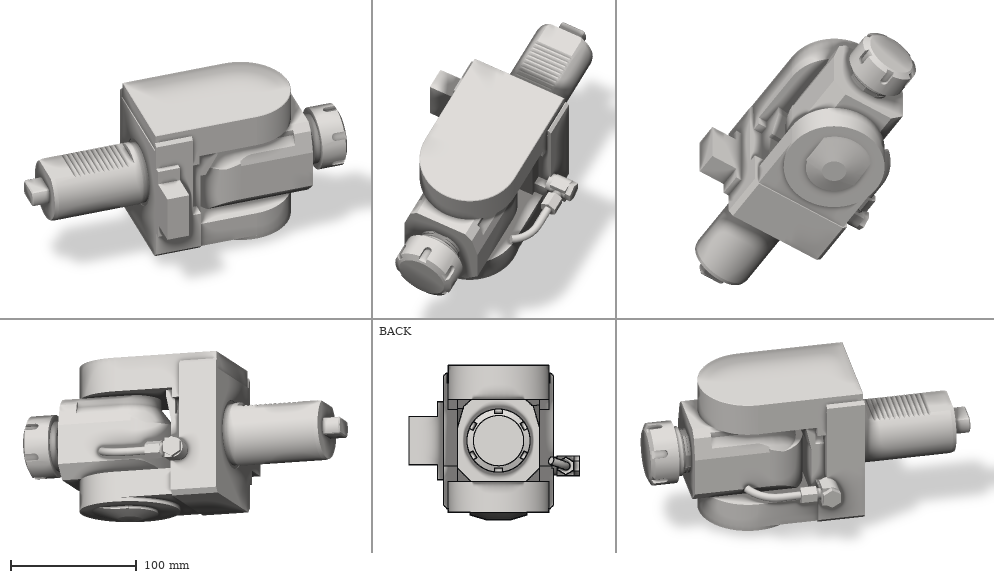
import cadquery as cq
import math


LENGTH_Y = 261.0
WIDTH_X = 135.7
HEIGHT_Z = 123.0

HOUSING_DIA = 80.0
HOUSING_R = HOUSING_DIA / 2
SWIVEL_Y = 85.8
TOP_Z = 60.0
BOTTOM_Z = TOP_Z - HEIGHT_Z
COVER_Z = 46.0
COVER_FRONT_Y = 0.8
COVER_CHAMFER = 0.5
GAP_HALF_Z = 32.5
LOWER_ARM_Z = -53.7
LOWER_DISC_Z = -57.0
SHOULDER_Z = 24.8
SHOULDER_Y = 37.8
WEB_HALF_X = 32.5
WEB_Y = 41.2
WEB_STEP_Z = 8.3
NEAR_WEDGE_Y = 45.5
NEAR_WEDGE_Z = 28.2
FAR_WEDGE_FOOT_Y = 45.5
FAR_WEDGE_Y = 55.3
FAR_WEDGE_Z = 25.3

FLANGE_WIDTH = 87.5
FLANGE_HALF_X = FLANGE_WIDTH / 2
FLANGE_TOP_Z = 53.7
FLANGE_BOTTOM_Z = -55.0
FLANGE_UPPER_Y = 30.8
FLANGE_LOWER_Y = 37.8
FLANGE_CHAMFER = 4.0
EAR_CHAMFER = 2.3
COVER_GAP = 0.8

LUG_PLATE_X = 48.5
LUG_PLATE_HALF_Z = 31.0
LUG_END_X = 71.2
LUG_HALF_Z = 19.3
LUG_DEPTH_Y = 18.3

FITTING_Y = FLANGE_UPPER_Y
FITTING_Z = -20.0
FITTING_END_X = LUG_END_X - WIDTH_X
FITTING_CAP_X = -60.0
FITTING_BODY_X = -46.5
FITTING_DIA = 16.0
FITTING_R = FITTING_DIA / 2
FITTING_NECK_DIA = 14.5
TUBE_X = -53.5
TUBE_DIA = 6.3
TUBE_NUT_R = 7.0
TUBE_NUT_START_Y = 42.0
TUBE_NUT_END_Y = 54.5
TUBE_NECK_DIA = 8.0
TUBE_NECK_END_Y = 40.0
TUBE_CONE_R = 6.0
TUBE_BEND_Y = 70.5
TUBE_BEND_R = 31.3
TUBE_BEND_ANGLE = 53
TUBE_BEND_TILT = 20

SCOOP_DIA = 12.0
SCOOP_Z = 18.8

SHANK_DIA = 50.0
SHANK_R = SHANK_DIA / 2
SHANK_END_Y = -78.3
UNDERCUT_DIA = 48.8
UNDERCUT_Y = -2.0
UNDERCUT_TAPER_Y = -4.2
SHANK_CHAMFER_LENGTH = 3.1
SHANK_CHAMFER_DEPTH = 0.8
FLAT_Z = 19.8
FLAT_START_Y = -8.3
FIRST_TOOTH_Y = -13.8
TOOTH_COUNT = 12
TOOTH_ROW_LENGTH = 48.0
TOOTH_PITCH = TOOTH_ROW_LENGTH / TOOTH_COUNT
TOOTH_DEPTH = 1.44
TANG_END_Y = -92.4
TANG_DIA = 23.2
TANG_R = TANG_DIA / 2
TANG_HALF_Z = 6.8
TANG_CHAMFER = 1.0
TANG_EDGE_CHAMFER = 0.8
SEAL_DIA = 54.8
SEAL_DEPTH = 1.3

HEAD_HALF_X = GAP_HALF_Z
HEAD_FRONT_Y = 135.5
HEAD_ROUND_Y = 75.0
HEAD_CORNER_X = 21.7
HEAD_SHOULDER_X = 27.7
HEAD_SHOULDER_Z = 27.1
HEAD_SIDE_Z = 10.0
RELIEF_FRONT_Y = 121.3
RELIEF_R = 25.0
RELIEF_CONE_Z = 24.8
RELIEF_LEDGE_Z = 7.8
RELIEF_LEDGE_R = 38.0

NUT_DIA = 50.0
NUT_R = NUT_DIA / 2
NUT_END_Y = TANG_END_Y + LENGTH_Y
NUT_START_Y = 146.5
NUT_CHAMFER_Y = 166.0
NUT_FACE_DIA = 40.0
NUT_SLOT_WIDTH = 6.3
NUT_SLOT_CENTER_Y = 158.5
NUT_SLOT_FLOOR_R = 21.7
NUT_SLOT_COUNT = 6
COLLAR_START_Y = 141.2
COLLAR_CHAMFER = 0.8
RING_END_Y = 139.8
RING_R = 17.7
NECK_R = 16.2
RING_GROOVE_R = 17.0
RING_GROOVE_Y = 137.8
RING_GROOVE_WIDTH = 0.8
RING_SLOT_WIDTH = 11.0
RING_SLOT_COUNT = 4
RING_SLOT_FLOOR_R = 16.2

CAP_R = 22.5
CAP_TIP_R = 9.7
CAP_RIM_Z = -59.0
POINTER_BASE_R = 29.7
POINTER_BACK = -6.0

OVERLAP = 1.3


def box(x0, x1, y0, y1, z0, z1):
    """Box given by its limits along each axis."""
    return cq.Workplane("XY").box(x1 - x0, y1 - y0, z1 - z0, centered=False).translate((x0, y0, z0))


def cylinder_y(radius, y0, y1, x=0, z=0):
    """Cylinder along Y between two positions."""
    return cq.Workplane("XZ", origin=(x, y0, z)).circle(radius).extrude(y0 - y1)


def cylinder_x(radius, x0, x1, y, z):
    """Cylinder along X between two positions."""
    return cq.Workplane("YZ", origin=(x0, y, z)).circle(radius).extrude(x1 - x0)


def hexagon_points(radius):
    """Hexagon corners with two corners on the second sketch axis."""
    angles = [math.radians(30 + 60 * i) for i in range(6)]
    return [(radius * math.cos(a), radius * math.sin(a)) for a in angles]


def rounded_arm(y_front, z0, z1):
    """Fork arm with straight sides and a half-round end about the swivel axis."""
    return (
        cq.Workplane("XY", origin=(0, 0, z0))
        .moveTo(-HOUSING_R, y_front)
        .lineTo(HOUSING_R, y_front)
        .lineTo(HOUSING_R, SWIVEL_Y)
        .threePointArc((0, SWIVEL_Y + HOUSING_R), (-HOUSING_R, SWIVEL_Y))
        .close()
        .extrude(z1 - z0)
    )


def make_web():
    """Web joining the arms, with a shoulder under the upper arm and a wedge growing toward +X."""
    shoulder = box(-HOUSING_R, HOUSING_R, COVER_FRONT_Y, SHOULDER_Y, SHOULDER_Z, GAP_HALF_Z)
    web = box(-WEB_HALF_X, WEB_HALF_X, COVER_FRONT_Y, WEB_Y, -GAP_HALF_Z, GAP_HALF_Z)

    def wedge_wire(x, y_foot, y_upper, z_upper):
        points = [(WEB_Y - OVERLAP, WEB_STEP_Z), (y_foot, WEB_STEP_Z), (y_upper, z_upper),
                  (y_upper, GAP_HALF_Z), (WEB_Y - OVERLAP, GAP_HALF_Z)]
        return cq.Wire.makePolygon([cq.Vector(x, y, z) for y, z in points], close=True)

    wedge = cq.Solid.makeLoft(
        [wedge_wire(-WEB_HALF_X, WEB_Y, NEAR_WEDGE_Y, NEAR_WEDGE_Z),
         wedge_wire(WEB_HALF_X, FAR_WEDGE_FOOT_Y, FAR_WEDGE_Y, FAR_WEDGE_Z)],
        True,
    )
    scoop = cylinder_y(SCOOP_DIA / 2, FLANGE_UPPER_Y, SHOULDER_Y, -WEB_HALF_X, SCOOP_Z)
    return web.union(cq.Workplane(wedge)).cut(scoop).union(shoulder)


def make_flange():
    """Mounting flange: full plate, deeper lower block and a slot for the cover."""
    def plate(y1, z0, z1):
        return box(-FLANGE_HALF_X, FLANGE_HALF_X, 0, y1, z0, z1)

    upper = plate(FLANGE_UPPER_Y, FITTING_Z, FLANGE_TOP_Z).edges("|Y and >Z").chamfer(EAR_CHAMFER)
    lower = plate(FLANGE_LOWER_Y, FLANGE_BOTTOM_Z, FITTING_Z).edges("|Y and <Z").chamfer(FLANGE_CHAMFER)
    slot_half = HOUSING_R + COVER_GAP
    slot = box(-slot_half, slot_half, 0, FLANGE_UPPER_Y, COVER_Z, TOP_Z)
    seal_groove = cylinder_y(SEAL_DIA / 2, 0, SEAL_DEPTH)
    return upper.union(lower).cut(slot).cut(seal_groove)


def make_housing():
    """Fork arms, web, lower disc and flange."""
    upper_arm = rounded_arm(COVER_FRONT_Y, GAP_HALF_Z, TOP_Z).faces(">Z").chamfer(COVER_CHAMFER)
    lower_arm = rounded_arm(COVER_FRONT_Y, LOWER_ARM_Z, -GAP_HALF_Z)
    disc = (
        cq.Workplane("XY", origin=(0, SWIVEL_Y, LOWER_DISC_Z))
        .circle(HOUSING_R)
        .extrude(-GAP_HALF_Z - LOWER_DISC_Z)
    )
    return make_flange().union(make_web()).union(upper_arm).union(lower_arm).union(disc)


def make_swivel_cap():
    """Round cap with a conical end below the lower disc and a wider cone toward the spindle."""
    root_z = LOWER_DISC_Z + OVERLAP

    def turned(outline):
        closed = cq.Workplane("XZ").polyline([(0, root_z)] + outline + [(0, BOTTOM_Z)]).close()
        return closed.revolve(360, (0, 0), (0, 1))

    cap = turned([(CAP_R, root_z), (CAP_R, CAP_RIM_Z), (CAP_TIP_R, BOTTOM_Z)])
    pointer = turned([(POINTER_BASE_R, root_z), (POINTER_BASE_R, LOWER_DISC_Z), (CAP_TIP_R, BOTTOM_Z)])
    pointer_limits = box(-CAP_R, CAP_R, POINTER_BACK, POINTER_BASE_R, BOTTOM_Z, root_z)
    return cap.union(pointer.intersect(pointer_limits)).translate((0, SWIVEL_Y, 0))


def make_head():
    """Faceted swivel head with a half-round back and a conical relief around its top."""
    right_side = [(HEAD_CORNER_X, -GAP_HALF_Z), (HEAD_HALF_X, -HEAD_CORNER_X), (HEAD_HALF_X, HEAD_SIDE_Z),
                  (HEAD_SHOULDER_X, HEAD_SHOULDER_Z), (HEAD_CORNER_X, GAP_HALF_Z)]
    left_side = [(-x, z) for x, z in reversed(right_side)]
    back_y = HEAD_ROUND_Y - HEAD_HALF_X
    section = (
        cq.Workplane("XZ", origin=(0, HEAD_ROUND_Y, 0))
        .polyline(right_side + left_side)
        .close()
        .extrude(HEAD_ROUND_Y - HEAD_FRONT_Y)
    )
    round_back = (
        cq.Workplane("XY", origin=(0, HEAD_ROUND_Y, -GAP_HALF_Z))
        .circle(HEAD_HALF_X)
        .extrude(2 * GAP_HALF_Z)
        .intersect(box(-HEAD_HALF_X, HEAD_HALF_X, back_y, HEAD_ROUND_Y, -GAP_HALF_Z, GAP_HALF_Z))
    )
    bottom_trim = (
        cq.Workplane("XZ", origin=(0, HEAD_ROUND_Y, 0))
        .polyline([(HEAD_CORNER_X, -GAP_HALF_Z), (HEAD_HALF_X, -HEAD_CORNER_X), (HEAD_HALF_X, -GAP_HALF_Z)])
        .close()
        .extrude(HEAD_HALF_X)
    )
    round_back = round_back.cut(bottom_trim).cut(bottom_trim.mirror("YZ"))
    return section.union(round_back).cut(make_head_relief())


def make_head_relief():
    """Space outside the relieved top: a turned profile continued straight toward the nut."""
    half_profile = [(RELIEF_LEDGE_R, RELIEF_LEDGE_Z), (RELIEF_R, RELIEF_CONE_Z), (RELIEF_R, GAP_HALF_Z)]
    turned = (
        cq.Workplane("XZ")
        .polyline([(0, RELIEF_LEDGE_Z)] + half_profile + [(0, GAP_HALF_Z)])
        .close()
        .revolve(360, (0, 0), (0, 1))
        .translate((0, SWIVEL_Y, 0))
    )
    straight = (
        cq.Workplane("XZ", origin=(0, SWIVEL_Y, 0))
        .polyline(half_profile + [(-x, z) for x, z in reversed(half_profile)])
        .close()
        .extrude(SWIVEL_Y - RELIEF_FRONT_Y)
    )
    space = box(-HOUSING_R, HOUSING_R, WEB_Y, RELIEF_FRONT_Y, RELIEF_LEDGE_Z, GAP_HALF_Z)
    return space.cut(turned).cut(straight)


def make_collet_nut():
    """Spindle ring, collar and chamfered nut with round-ended wrench slots."""
    face_r = NUT_FACE_DIA / 2
    spindle = (
        cq.Workplane("XY")
        .polyline([(0, HEAD_FRONT_Y - OVERLAP), (RING_R, HEAD_FRONT_Y - OVERLAP), (RING_R, RING_END_Y),
                   (NECK_R, RING_END_Y), (NECK_R, COLLAR_START_Y),
                   (face_r - COLLAR_CHAMFER, COLLAR_START_Y), (face_r, COLLAR_START_Y + COLLAR_CHAMFER),
                   (face_r, NUT_START_Y), (NUT_R, NUT_START_Y), (NUT_R, NUT_CHAMFER_Y),
                   (face_r, NUT_END_Y), (0, NUT_END_Y)])
        .close()
        .revolve(360, (0, 0), (0, 1))
    )
    groove_start = RING_GROOVE_Y - RING_GROOVE_WIDTH / 2
    groove_end = RING_GROOVE_Y + RING_GROOVE_WIDTH / 2
    ring_groove = cylinder_y(RING_R, groove_start, groove_end).cut(
        cylinder_y(RING_GROOVE_R, groove_start, groove_end)
    )
    spindle = spindle.cut(ring_groove)
    half_slot = NUT_SLOT_WIDTH / 2
    nut_slot = box(-half_slot, half_slot, NUT_SLOT_CENTER_Y, NUT_END_Y, NUT_SLOT_FLOOR_R, NUT_R)
    slot_end = (
        cq.Workplane("XY", origin=(0, NUT_SLOT_CENTER_Y, NUT_SLOT_FLOOR_R))
        .circle(half_slot)
        .extrude(NUT_R - NUT_SLOT_FLOOR_R)
    )
    nut_slot = nut_slot.union(slot_end)
    for i in range(NUT_SLOT_COUNT):
        spindle = spindle.cut(nut_slot.rotate((0, 0, 0), (0, 1, 0), i * 360 / NUT_SLOT_COUNT))
    half_ring_slot = RING_SLOT_WIDTH / 2
    ring_slot = box(-half_ring_slot, half_ring_slot, HEAD_FRONT_Y, RING_END_Y, RING_SLOT_FLOOR_R, RING_R)
    for i in range(RING_SLOT_COUNT):
        spindle = spindle.cut(ring_slot.rotate((0, 0, 0), (0, 1, 0), i * 360 / RING_SLOT_COUNT))
    return spindle


def make_shank():
    """Round shank with a toothed flat on top and a driving tang at its end."""
    shank = (
        cq.Workplane("XY")
        .polyline([(0, FLANGE_UPPER_Y), (UNDERCUT_DIA / 2, FLANGE_UPPER_Y),
                   (UNDERCUT_DIA / 2, UNDERCUT_Y), (SHANK_R, UNDERCUT_TAPER_Y),
                   (SHANK_R, SHANK_END_Y + SHANK_CHAMFER_LENGTH),
                   (SHANK_R - SHANK_CHAMFER_DEPTH, SHANK_END_Y), (0, SHANK_END_Y)])
        .close()
        .revolve(360, (0, 0), (0, 1))
    )
    shank = shank.cut(box(-SHANK_R, SHANK_R, SHANK_END_Y, FLAT_START_Y, FLAT_Z, SHANK_R))
    groove = (
        cq.Workplane("YZ", origin=(-SHANK_R, 0, FLAT_Z))
        .polyline([(-TOOTH_DEPTH, 0), (TOOTH_DEPTH, 0), (0, -TOOTH_DEPTH)])
        .close()
        .extrude(SHANK_DIA)
    )
    for i in range(TOOTH_COUNT):
        shank = shank.cut(groove.translate((0, FIRST_TOOTH_Y - i * TOOTH_PITCH, 0)))
    tang_limits = box(-TANG_R, TANG_R, TANG_END_Y, SHANK_END_Y + OVERLAP, -TANG_HALF_Z, TANG_HALF_Z)
    tang = cylinder_y(TANG_R, TANG_END_Y, SHANK_END_Y + OVERLAP).intersect(tang_limits)
    tang = tang.edges("|Y").chamfer(TANG_EDGE_CHAMFER)
    return shank.union(tang.faces("<Y").chamfer(TANG_CHAMFER))


def make_torque_lug():
    """Side plate with a projecting block on the +X side of the flange."""
    plate = box(FLANGE_HALF_X - OVERLAP, LUG_PLATE_X, 0, LUG_DEPTH_Y, -LUG_PLATE_HALF_Z, LUG_PLATE_HALF_Z)
    return plate.union(box(LUG_PLATE_X, LUG_END_X, 0, LUG_DEPTH_Y, -LUG_HALF_Z, LUG_HALF_Z))


def make_coolant_fitting():
    """Banjo fitting on the -X side with a hexagon cap, a tube nut and a bent tube."""
    cap = (
        cq.Workplane("YZ", origin=(FITTING_END_X, FITTING_Y, FITTING_Z))
        .polyline(hexagon_points(FITTING_R))
        .close()
        .extrude(FITTING_CAP_X - FITTING_END_X)
    )
    body = cylinder_x(FITTING_R, FITTING_CAP_X, FITTING_BODY_X, FITTING_Y, FITTING_Z)
    seat = box(FITTING_CAP_X, FITTING_BODY_X, FITTING_Y, FLANGE_LOWER_Y,
               FITTING_Z - FITTING_R, FITTING_Z + FITTING_R)
    neck = cylinder_x(FITTING_NECK_DIA / 2, FITTING_BODY_X, OVERLAP - FLANGE_HALF_X, FITTING_Y, FITTING_Z)
    neck_r = TUBE_NECK_DIA / 2
    tube_neck = (
        cq.Workplane("XY")
        .polyline([(0, FITTING_Y), (neck_r, FITTING_Y), (neck_r, TUBE_NECK_END_Y),
                   (TUBE_CONE_R, TUBE_NUT_START_Y), (0, TUBE_NUT_START_Y)])
        .close()
        .revolve(360, (0, 0), (0, 1))
        .translate((TUBE_X, 0, FITTING_Z))
    )
    tube_nut = (
        cq.Workplane("XZ", origin=(TUBE_X, TUBE_NUT_START_Y, FITTING_Z))
        .polyline(hexagon_points(TUBE_NUT_R))
        .close()
        .extrude(TUBE_NUT_START_Y - TUBE_NUT_END_Y)
    )
    return cap.union(body).union(seat).union(neck).union(tube_neck).union(tube_nut).union(make_tube())


def make_tube():
    """Coolant tube: a straight length followed by one bend toward the spindle."""
    straight = cylinder_y(TUBE_DIA / 2, TUBE_NUT_END_Y, TUBE_BEND_Y, TUBE_X, FITTING_Z)
    bend = (
        cq.Workplane("XZ", origin=(TUBE_X, TUBE_BEND_Y, FITTING_Z))
        .circle(TUBE_DIA / 2)
        .revolve(TUBE_BEND_ANGLE, (TUBE_BEND_R, 2.5), (TUBE_BEND_R, 0))
        .rotate((TUBE_X, 0, FITTING_Z), (TUBE_X, 1, FITTING_Z), -TUBE_BEND_TILT)
    )
    return straight.union(bend)


result = (
    make_housing()
    .union(make_swivel_cap())
    .union(make_head())
    .union(make_collet_nut())
    .union(make_shank())
    .union(make_torque_lug())
    .union(make_coolant_fitting())
)